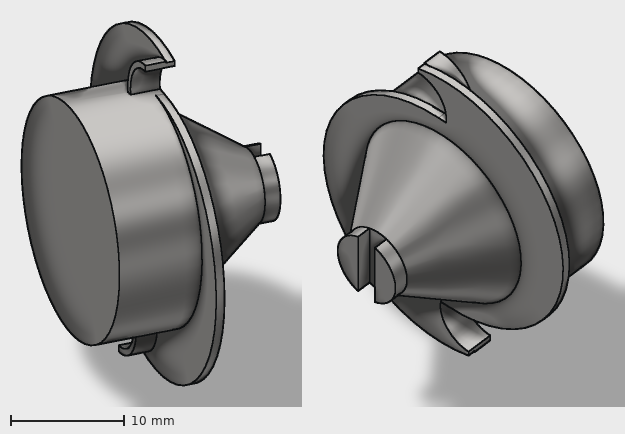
import cadquery as cq
import math

drum_length = 7.92
flange_thickness = 0.8
cone_length = 8.47
prong_length = 1.5
tab_length = 2.0

drum_radius = 22.5 / 2
cone_base_radius = 9.4
cone_tip_radius = 3.5
prong_slot_width = 2.05

flange_width = 28.98
flange_height = 32.45
wing_radius = 13.73
wing_center_x = wing_radius - flange_width / 2
wing_center_z = flange_height / 2 - wing_radius

hook_center_x = 3.05
hook_center_z = 11.78
hook_inner_radius = 3.4
hook_outer_radius = 4.02
root_overlap = 0.32
hook_root_z = drum_radius - root_overlap


def cylinder_y(radius, start, end):
    """Cylinder about the Y axis between two Y positions."""
    return cq.Workplane(cq.Solid.makeCylinder(
        radius, end - start, cq.Vector(0, start, 0), cq.Vector(0, 1, 0)))


def hook_points(radius):
    """Root, middle and tip (X, Z) of a hook arc of the given radius."""
    root_x = hook_center_x - math.sqrt(radius**2 - (hook_center_z - hook_root_z)**2)
    diagonal = radius * math.sqrt(0.5)
    return (
        (root_x, hook_root_z),
        (hook_center_x - diagonal, hook_center_z + diagonal),
        (hook_center_x, hook_center_z + radius),
    )


def make_wing():
    """Half of the flange, ending in a point beside the hook."""
    tip_z = wing_center_z + math.sqrt(
        wing_radius**2 - (hook_center_x - wing_center_x)**2)
    bottom_z = wing_center_z - math.sqrt(wing_radius**2 - wing_center_x**2)
    hook_root, hook_middle, hook_tip = hook_points(hook_inner_radius)
    return (
        cq.Workplane("XZ")
        .moveTo(hook_center_x, tip_z)
        .threePointArc((wing_center_x - wing_radius, wing_center_z), (0, bottom_z))
        .lineTo(0, 0)
        .lineTo(*hook_root)
        .threePointArc(hook_middle, hook_tip)
        .close()
        .extrude(-flange_thickness)
    )


def make_tab():
    """Curved wall along the hook edge, with its lower end buried in the drum."""
    inner_root, inner_middle, inner_tip = hook_points(hook_inner_radius)
    outer_root, outer_middle, outer_tip = hook_points(hook_outer_radius)
    return (
        cq.Workplane("XZ")
        .moveTo(*inner_root)
        .threePointArc(inner_middle, inner_tip)
        .lineTo(*outer_tip)
        .threePointArc(outer_middle, outer_root)
        .close()
        .extrude(tab_length)
    )


def make_cone():
    """Cone on the back face of the flange, narrowing toward the prongs."""
    return cq.Workplane(cq.Solid.makeCone(
        cone_base_radius, cone_tip_radius, cone_length,
        cq.Vector(0, flange_thickness, 0), cq.Vector(0, 1, 0)))


def make_prongs():
    """Two round segments on the cone tip, split by a straight slot along Z."""
    start = flange_thickness + cone_length
    end = start + prong_length
    slot = cq.Workplane("XY").box(prong_slot_width, prong_length, 2 * cone_tip_radius)
    slot = slot.translate((0, start + prong_length / 2, 0))
    return cylinder_y(cone_tip_radius, start, end).cut(slot)


body = cylinder_y(drum_radius, -drum_length, flange_thickness)
body = body.union(make_cone()).union(make_prongs())

hooked_wing = make_wing().union(make_tab())
for angle in (0, 180):
    body = body.union(hooked_wing.rotate((0, 0, 0), (0, 1, 0), angle))

result = body